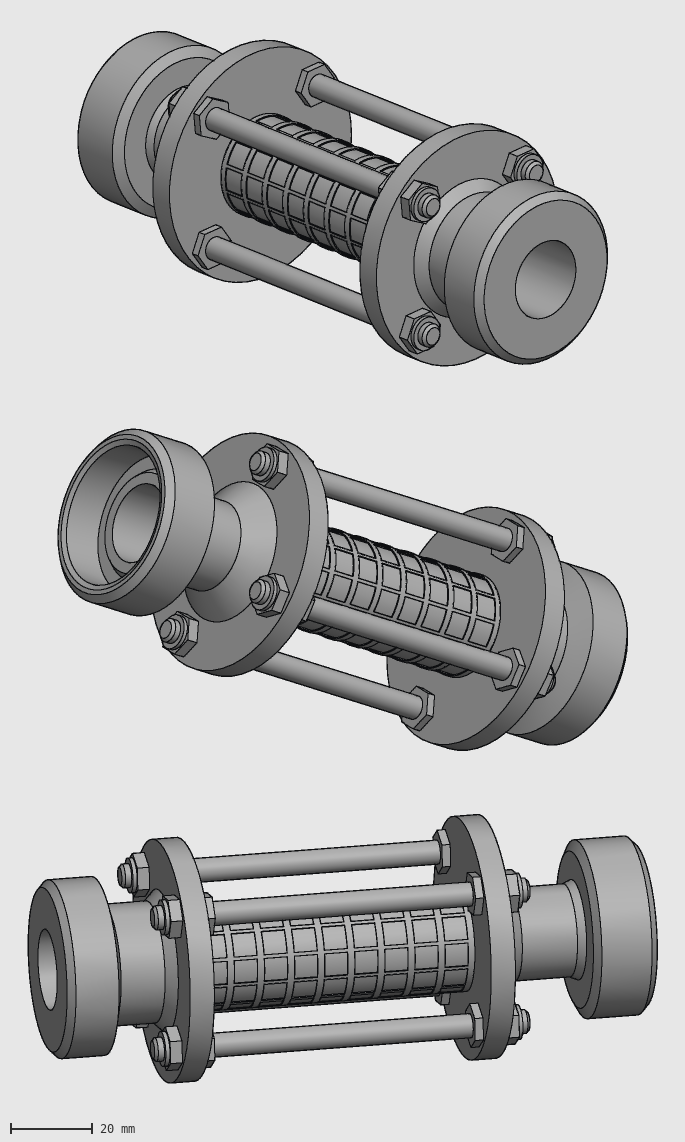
import cadquery as cq
import math


LENGTH = 149.0
BORE_RADIUS = 10.0
LEFT_END = -LENGTH / 2
RIGHT_END = LENGTH / 2

GLASS_MIDDLE = 4.8
FLANGE_GAP = 69.9
FLANGE_THICKNESS = 6.1
FLANGE_DIAMETER = 60.0
FLANGE_RADIUS = FLANGE_DIAMETER / 2
LEFT_INNER_FACE = GLASS_MIDDLE - FLANGE_GAP / 2
LEFT_OUTER_FACE = LEFT_INNER_FACE - FLANGE_THICKNESS
RIGHT_INNER_FACE = GLASS_MIDDLE + FLANGE_GAP / 2
RIGHT_OUTER_FACE = RIGHT_INNER_FACE + FLANGE_THICKNESS
CONE_BASE_RADIUS = 17.7

THREAD_RADIUS = 22.0
END_CHAMFER = 1.8
NUT_LENGTH = 16.0
NUT_BACK_CHAMFER_LENGTH = 1.5
NUT_BACK_RADIUS = 19.4
NUT_MOUTH_CHAMFER_WIDTH = 1.3
NUT_MOUTH_CHAMFER_DEPTH = 0.6
NUT_CAVITY_RADIUS = 17.7
NUT_CAVITY_DEPTH = 10.7
NUT_BACK = LEFT_END + NUT_LENGTH
NUT_FLOOR = LEFT_END + NUT_CAVITY_DEPTH

LEFT_PIPE_RADIUS = 11.5
NECK_RADIUS = 12.4
NECK_TAPER_LENGTH = 2.1
HEAD_RADIUS = 14.2
HEAD_TAPER = 1.3
HEAD_HEIGHT = 2.0

RIGHT_PIPE_RADIUS = 15.0
RIGHT_PIPE_END = 59.6
RIGHT_CONE_LENGTH = 2.2

GLASS_RADIUS = 12.8
CAGE_RADIUS = 13.1
WINDOW_LENGTH = 5.8
RING_WIDTH = 1.8
WINDOW_ROWS = 9
BAR_COUNT = 12
BAR_WIDTH = 0.9

ROD_RADIUS = 3.0
ROD_OFFSET = 17.0
ROD_LENGTH = 94.8
ROD_CHAMFER = 0.7
HEX_ACROSS_FLATS = 9.5
HEX_TURN = 24.0
INNER_HEX_THICKNESS = 2.1
OUTER_HEX_THICKNESS = 3.0
HEX_COLLAR_RADIUS = 4.3
HEX_COLLAR_THICKNESS = 1.0


def turned(profile):
    """Revolve a closed list of (x, radius) points about the X axis."""
    return cq.Workplane("XY").polyline(profile).close().revolve(360, (0, 0, 0), (1, 0, 0))


def cylinder(x_start, length, radius):
    return cq.Workplane("YZ").workplane(offset=x_start).circle(radius).extrude(length)


def tube(x_start, length, outer_radius, inner_radius):
    return cylinder(x_start, length, outer_radius).cut(cylinder(x_start, length, inner_radius))


def rod_holes():
    """Cylinders along the four tie rods, reaching through both flanges."""
    return (
        cq.Workplane("YZ")
        .workplane(offset=LEFT_OUTER_FACE)
        .rect(2 * ROD_OFFSET, 2 * ROD_OFFSET, forConstruction=True)
        .vertices()
        .circle(ROD_RADIUS)
        .extrude(RIGHT_OUTER_FACE - LEFT_OUTER_FACE)
    )


def make_coupling_nut():
    return turned([
        (LEFT_END, NUT_CAVITY_RADIUS + NUT_MOUTH_CHAMFER_WIDTH),
        (LEFT_END, THREAD_RADIUS - END_CHAMFER),
        (LEFT_END + END_CHAMFER, THREAD_RADIUS),
        (NUT_BACK - NUT_BACK_CHAMFER_LENGTH, THREAD_RADIUS),
        (NUT_BACK, NUT_BACK_RADIUS),
        (NUT_BACK, NECK_RADIUS),
        (NUT_FLOOR, NECK_RADIUS),
        (NUT_FLOOR, NUT_CAVITY_RADIUS),
        (LEFT_END + NUT_MOUTH_CHAMFER_DEPTH, NUT_CAVITY_RADIUS),
    ])


def make_left_fitting():
    cone_length = CONE_BASE_RADIUS - LEFT_PIPE_RADIUS
    body = turned([
        (NUT_FLOOR - HEAD_HEIGHT, BORE_RADIUS),
        (NUT_FLOOR - HEAD_HEIGHT, HEAD_RADIUS - HEAD_TAPER),
        (NUT_FLOOR, HEAD_RADIUS),
        (NUT_FLOOR, NECK_RADIUS),
        (NUT_BACK, NECK_RADIUS),
        (NUT_BACK + NECK_TAPER_LENGTH, LEFT_PIPE_RADIUS),
        (LEFT_OUTER_FACE - cone_length, LEFT_PIPE_RADIUS),
        (LEFT_OUTER_FACE, CONE_BASE_RADIUS),
        (LEFT_OUTER_FACE, FLANGE_RADIUS),
        (LEFT_INNER_FACE, FLANGE_RADIUS),
        (LEFT_INNER_FACE, BORE_RADIUS),
    ])
    return body.cut(rod_holes())


def make_right_fitting():
    cone_length = CONE_BASE_RADIUS - RIGHT_PIPE_RADIUS
    body = turned([
        (RIGHT_INNER_FACE, BORE_RADIUS),
        (RIGHT_INNER_FACE, FLANGE_RADIUS),
        (RIGHT_OUTER_FACE, FLANGE_RADIUS),
        (RIGHT_OUTER_FACE, CONE_BASE_RADIUS),
        (RIGHT_OUTER_FACE + cone_length, RIGHT_PIPE_RADIUS),
        (RIGHT_PIPE_END, RIGHT_PIPE_RADIUS),
        (RIGHT_PIPE_END + RIGHT_CONE_LENGTH, THREAD_RADIUS),
        (RIGHT_END - END_CHAMFER, THREAD_RADIUS),
        (RIGHT_END, THREAD_RADIUS - END_CHAMFER),
        (RIGHT_END, BORE_RADIUS),
    ])
    return body.cut(rod_holes())


def make_sight_glass():
    return tube(LEFT_INNER_FACE, FLANGE_GAP, GLASS_RADIUS, BORE_RADIUS)


def make_cage():
    """Thin sleeve over the glass with rows of windows, leaving rings and lengthwise bars."""
    window_pitch = WINDOW_LENGTH + RING_WIDTH
    grid_length = WINDOW_ROWS * window_pitch - RING_WIDTH
    grid_start = GLASS_MIDDLE - grid_length / 2
    bar_spacing = 360 / BAR_COUNT
    first_bar_angle = bar_spacing / 2

    bars = cq.Workplane("XY")
    for i in range(BAR_COUNT):
        bar = cq.Workplane("XY").box(FLANGE_GAP, BAR_WIDTH, CAGE_RADIUS, centered=(True, True, False))
        bar = bar.translate((GLASS_MIDDLE, 0, 0))
        bar = bar.rotate((0, 0, 0), (1, 0, 0), first_bar_angle + i * bar_spacing)
        bars = bars.add(bar)
    bars = bars.combine()

    cage = tube(LEFT_INNER_FACE, FLANGE_GAP, CAGE_RADIUS, GLASS_RADIUS)
    for row in range(WINDOW_ROWS):
        window_start = grid_start + row * window_pitch
        window_row = tube(window_start, WINDOW_LENGTH, CAGE_RADIUS, GLASS_RADIUS).cut(bars)
        cage = cage.cut(window_row)
    return cage


def hexagon(x_start, thickness):
    """Hexagonal nut around the rod's own axis."""
    corner_diameter = HEX_ACROSS_FLATS / math.cos(math.radians(30))
    prism = cq.Workplane("YZ").workplane(offset=x_start).polygon(6, corner_diameter).extrude(thickness)
    return prism.rotate((0, 0, 0), (1, 0, 0), -HEX_TURN)


def make_tie_rod(quarter):
    """Rod with its nuts, turned by the given number of quarter turns about the flow axis."""
    rod = cylinder(GLASS_MIDDLE - ROD_LENGTH / 2, ROD_LENGTH, ROD_RADIUS)
    rod = rod.faces("<X or >X").chamfer(ROD_CHAMFER)
    left_hex_start = LEFT_OUTER_FACE - OUTER_HEX_THICKNESS
    right_hex_end = RIGHT_OUTER_FACE + OUTER_HEX_THICKNESS
    rod = (
        rod.union(cylinder(left_hex_start - HEX_COLLAR_THICKNESS, HEX_COLLAR_THICKNESS, HEX_COLLAR_RADIUS))
        .union(hexagon(left_hex_start, OUTER_HEX_THICKNESS))
        .union(hexagon(LEFT_INNER_FACE, INNER_HEX_THICKNESS))
        .union(hexagon(RIGHT_INNER_FACE - INNER_HEX_THICKNESS, INNER_HEX_THICKNESS))
        .union(hexagon(RIGHT_OUTER_FACE, OUTER_HEX_THICKNESS))
        .union(cylinder(right_hex_end, HEX_COLLAR_THICKNESS, HEX_COLLAR_RADIUS))
    )
    return rod.translate((0, -ROD_OFFSET, ROD_OFFSET)).rotate((0, 0, 0), (1, 0, 0), 90 * quarter)


coupling_nut = make_coupling_nut()
left_fitting = make_left_fitting()
right_fitting = make_right_fitting()
sight_glass = make_sight_glass()
cage = make_cage()
tie_rods = [make_tie_rod(quarter) for quarter in range(4)]

result = cq.Compound.makeCompound([
    coupling_nut.val(),
    left_fitting.val(),
    right_fitting.val(),
    sight_glass.val(),
    cage.val(),
    *[rod.val() for rod in tie_rods],
])